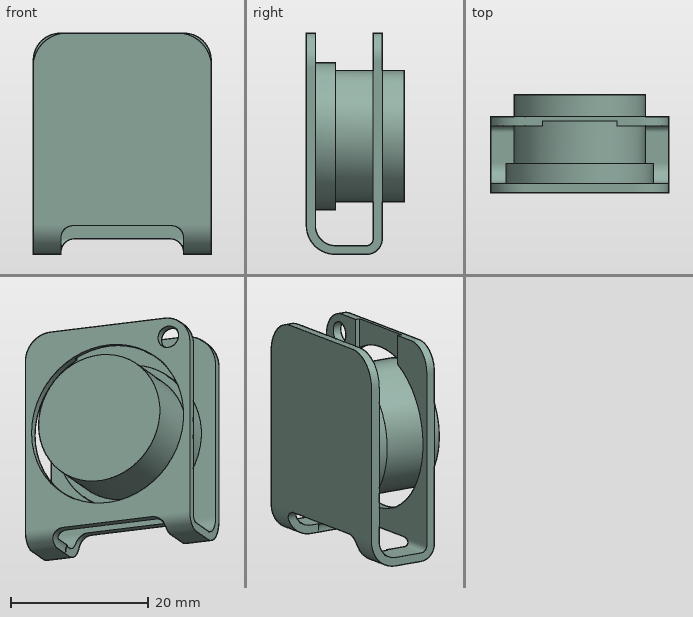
import cadquery as cq

clip_width = 26.0
clip_height = 32.3
clip_depth = 11.1
wall = 1.35
floor = 1.3
front_bend_inner = 2.9
rear_bend_inner = 0.97
front_corner_radius = 4.9
rear_corner_radius = 4.0

window_width = 17.85
front_window_corner_radius = 1.75
rear_window_corner_radius = 1.95
front_bend_top = floor + front_bend_inner
rear_bend_top = floor + rear_bend_inner

rear_opening_radius = 12.0
relief_width = 10.82
relief_depth = 0.7
cord_hole_diameter = 3.23
cord_hole_x = -9.6
cord_hole_z = 29.4

axis_z = 17.25
flange_radius = 10.75
flange_length = 2.95
barrel_radius = 9.6
total_depth = 14.3

rear_inner_y = clip_depth - wall
flange_end_y = wall + flange_length


def cylinder_along_y(radius, start_y, end_y, x=0.0, z=axis_z):
    return (
        cq.Workplane("XZ", origin=(x, start_y, z))
        .circle(radius)
        .extrude(start_y - end_y)
    )


def block(width, start_y, end_y, bottom_z, top_z):
    return cq.Workplane("XY", origin=(0, start_y, bottom_z)).box(
        width, end_y - start_y, top_z - bottom_z, centered=(True, False, False)
    )


def bent_strip():
    outside = block(clip_width, 0, clip_depth, 0, clip_height)
    outside = outside.edges("|X and <Z and <Y").fillet(wall + front_bend_inner)
    outside = outside.edges("|X and <Z and >Y").fillet(wall + rear_bend_inner)
    inside = block(clip_width, wall, rear_inner_y, floor, clip_height)
    inside = inside.edges("|X and <Z and <Y").fillet(front_bend_inner)
    inside = inside.edges("|X and <Z and >Y").fillet(rear_bend_inner)
    return outside.cut(inside)


def round_wall_corners(strip):
    middle_y = clip_depth / 2
    front = block(clip_width, 0, middle_y, 0, clip_height)
    front = front.edges("|Y and >Z").fillet(front_corner_radius)
    rear = block(clip_width, middle_y, clip_depth, 0, clip_height)
    rear = rear.edges("|Y and >Z").fillet(rear_corner_radius)
    return strip.intersect(front.union(rear))


def floor_window():
    middle_y = clip_depth / 2
    front = block(window_width, 0, middle_y, 0, front_bend_top)
    front = front.edges("|Y and >Z").fillet(front_window_corner_radius)
    rear = block(window_width, middle_y, clip_depth, 0, rear_bend_top)
    rear = rear.edges("|Y and >Z").fillet(rear_window_corner_radius)
    return front.union(rear)


def make_clip():
    rear_opening = cylinder_along_y(rear_opening_radius, rear_inner_y, clip_depth)
    relief = block(relief_width, rear_inner_y, rear_inner_y + relief_depth, axis_z, clip_height)
    cord_hole = cylinder_along_y(
        cord_hole_diameter / 2, rear_inner_y, clip_depth, cord_hole_x, cord_hole_z
    )
    clip = round_wall_corners(bent_strip())
    return clip.cut(floor_window()).cut(rear_opening).cut(relief).cut(cord_hole)


def make_flange():
    return cylinder_along_y(flange_radius, wall, flange_end_y)


def make_barrel():
    return cylinder_along_y(barrel_radius, flange_end_y, total_depth)


clip = make_clip()
flange = make_flange()
barrel = make_barrel()

result = cq.Compound.makeCompound([clip.val(), flange.val(), barrel.val()])